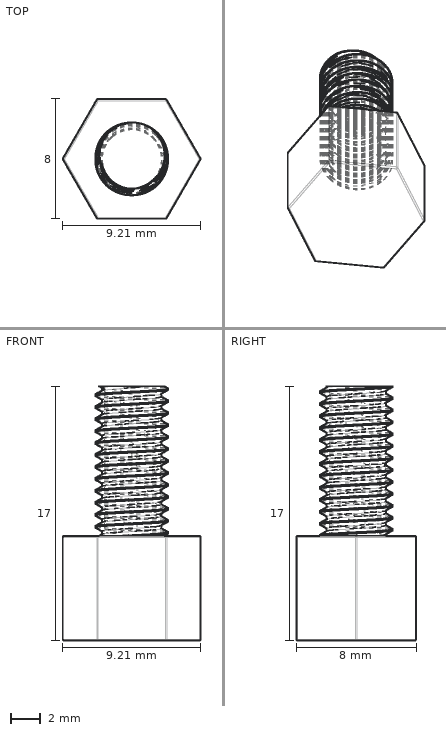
import cadquery as cq
import math

total_height = 17.0
stud_height = 10.0
hex_height = total_height - stud_height
across_flats = 8.0
edge_radius = 0.1

crest_radius = 4.9 / 2
root_radius = 4.0 / 2
turns = 12.5
crest_share = 1 / 8
root_share = 1 / 4
end_crest_angle = 90.0


def hex_body():
    """Hexagonal body with corners on the X axis and every edge rounded."""
    across_corners = across_flats / math.cos(math.radians(30))
    body = cq.Workplane("XY").polygon(6, across_corners).extrude(hex_height)
    return body.edges().fillet(edge_radius)


def polar(radius, angle):
    return radius * math.cos(angle), radius * math.sin(angle)


def thread_section(crest_angle):
    """Slice square to the axis: crest and root arcs joined by spiral flanks."""
    half_crest = math.pi * crest_share
    half_root = math.pi * root_share
    flank_span = math.pi - half_crest - half_root
    root_angle = crest_angle + math.pi
    crest_start = crest_angle - half_crest
    crest_end = crest_angle + half_crest

    def falling_flank(t):
        radius = crest_radius + (root_radius - crest_radius) * t
        return polar(radius, crest_end + flank_span * t)

    def rising_flank(t):
        radius = root_radius + (crest_radius - root_radius) * t
        return polar(radius, root_angle + half_root + flank_span * t)

    return (
        cq.Workplane("XY", origin=(0, 0, hex_height))
        .moveTo(*polar(crest_radius, crest_start))
        .threePointArc(polar(crest_radius, crest_angle), polar(crest_radius, crest_end))
        .parametricCurve(falling_flank, N=20, makeWire=False)
        .threePointArc(polar(root_radius, root_angle), rising_flank(0))
        .parametricCurve(rising_flank, N=20, makeWire=False)
        .close()
    )


def threaded_stud():
    """Turning the slice steadily while it rises forms the helical thread."""
    twist = 360 * turns
    base_crest_angle = math.radians(end_crest_angle - twist)
    return thread_section(base_crest_angle).twistExtrude(stud_height, twist)


result = hex_body().union(threaded_stud())